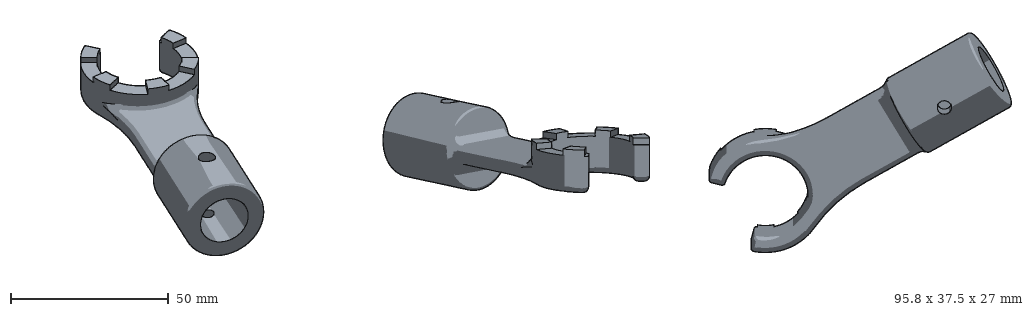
import cadquery as cq
import math

ring_outer_diameter = 37.5
ring_inner_radius = 13.5
ring_top = 9.1
jaw_angle = 135.0
jaw_edge_fillet = 0.91

lug_height = 2.0
lug_pitch = 60.0
lug_half_angle = 11.0

handle_thickness = 6.0
handle_width = 24.05
handle_straight_start = 29.6
edge_fillet = 2.0

barrel_radius = 13.5
barrel_start = 51.9
barrel_length = 31.0
barrel_edge_fillet = 1.0
barrel_blend_radius = 5.0
bore_diameter = 16.0
bore_depth = 25.9
pin_x = 65.8
pin_top_diameter = 5.5
pin_bottom_diameter = 4.5

ring_outer_radius = ring_outer_diameter / 2
handle_half_width = handle_width / 2
handle_bottom = -handle_thickness / 2
handle_top = handle_thickness / 2
barrel_end = barrel_start + barrel_length
selection_margin = 0.1


def polar(radius, degrees):
    angle = math.radians(degrees)
    return (radius * math.cos(angle), radius * math.sin(angle))


def ring_sector(start, end, bottom, top):
    """Part of the ring between two angles and two heights."""
    middle = (start + end) / 2
    return (
        cq.Workplane("XY", origin=(0, 0, bottom))
        .moveTo(*polar(ring_inner_radius, start))
        .lineTo(*polar(ring_outer_radius, start))
        .threePointArc(polar(ring_outer_radius, middle), polar(ring_outer_radius, end))
        .lineTo(*polar(ring_inner_radius, end))
        .threePointArc(polar(ring_inner_radius, middle), polar(ring_inner_radius, start))
        .close()
        .extrude(top - bottom)
    )


def make_handle():
    """Flat bar whose sides flare in arcs tangent to the ring."""
    flare_radius = (
        handle_straight_start**2 + handle_half_width**2 - ring_outer_radius**2
    ) / (2 * (ring_outer_radius - handle_half_width))
    centre_y = handle_half_width + flare_radius
    centre_angle = math.degrees(math.atan2(centre_y, handle_straight_start))
    tangent_x, tangent_y = polar(ring_outer_radius, centre_angle)
    mid_dx, mid_dy = polar(flare_radius, (centre_angle + 180 + 270) / 2)
    mid_x = handle_straight_start + mid_dx
    mid_y = centre_y + mid_dy

    return (
        cq.Workplane("XY", origin=(0, 0, handle_bottom))
        .moveTo(tangent_x, -tangent_y)
        .threePointArc((mid_x, -mid_y), (handle_straight_start, -handle_half_width))
        .lineTo(barrel_start, -handle_half_width)
        .lineTo(barrel_start, handle_half_width)
        .lineTo(handle_straight_start, handle_half_width)
        .threePointArc((mid_x, mid_y), (tangent_x, tangent_y))
        .close()
        .extrude(handle_thickness)
    )


def make_barrel():
    return (
        cq.Workplane("YZ", origin=(barrel_start, 0, 0))
        .circle(barrel_radius)
        .extrude(barrel_length)
        .edges()
        .fillet(barrel_edge_fillet)
    )


def make_lugs():
    """Five raised lugs spread evenly round the ring top."""
    lugs = cq.Workplane("XY")
    for step in range(-2, 3):
        middle = step * lug_pitch
        lugs = lugs.add(
            ring_sector(middle - lug_half_angle, middle + lug_half_angle, ring_top, ring_top + lug_height)
        )
    return lugs.combine()


def make_head():
    """Open ring and handle with rounded edges and a blend between them."""
    ring = ring_sector(-jaw_angle, jaw_angle, handle_bottom, ring_top)
    ring = ring.edges("|Z").fillet(jaw_edge_fillet)
    ring_core = (
        cq.Workplane("XY", origin=(0, 0, handle_bottom))
        .circle((ring_inner_radius + ring_outer_radius) / 2)
        .extrude(handle_thickness)
    )
    head = ring.union(make_handle().cut(ring_core))

    head = head.faces("<Z").edges("not(>X)").fillet(edge_fillet)

    top_edges = cq.selectors.BoxSelector(
        (0, -ring_outer_radius, handle_top - selection_margin),
        (barrel_end, ring_outer_radius, handle_top + selection_margin),
    )
    return head.edges(top_edges).edges("not(>X)").fillet(edge_fillet)


def blend_handle_into_barrel(body):
    """Concave fillet all round the handle where it meets the barrel."""
    joint_edges = cq.selectors.BoxSelector(
        (barrel_start - selection_margin, -barrel_radius, 2 * handle_bottom),
        (barrel_start + selection_margin, barrel_radius, 2 * handle_top),
        boundingbox=True,
    )
    return body.edges(joint_edges).fillet(barrel_blend_radius)


def make_bore():
    """Blind socket open at the far end of the barrel."""
    return (
        cq.Workplane("YZ", origin=(barrel_end - bore_depth, 0, 0))
        .circle(bore_diameter / 2)
        .extrude(bore_depth)
    )


def make_pin_hole():
    """Cross hole, wider through the upper barrel wall than the lower one."""
    upper = cq.Workplane("XY").center(pin_x, 0).circle(pin_top_diameter / 2).extrude(barrel_radius)
    lower = cq.Workplane("XY").center(pin_x, 0).circle(pin_bottom_diameter / 2).extrude(-barrel_radius)
    return upper.union(lower)


body = make_head().union(make_barrel())
body = blend_handle_into_barrel(body)
result = body.union(make_lugs()).cut(make_bore()).cut(make_pin_hole())